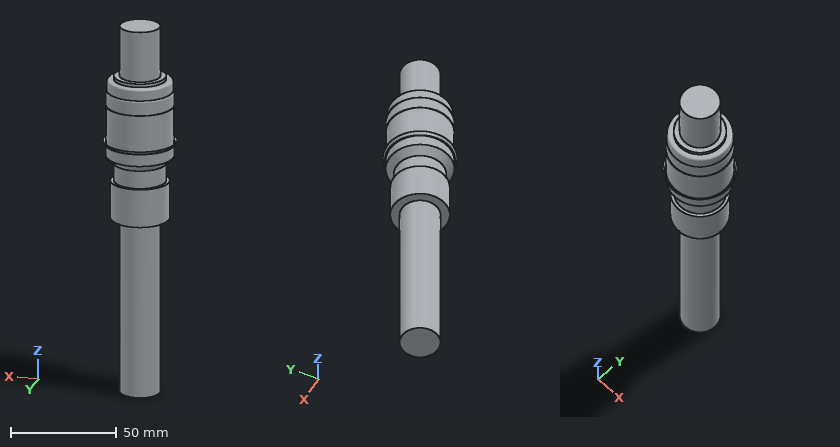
import cadquery as cq
import math

LENGTH = 184.2
ROD_RADIUS = 9.8

NUT_BOTTOM = 87.5
NUT_TOP = 106.5
CONE_BOTTOM = 115.3
CONE_TOP = 119.0
LIP_BOTTOM = 125.0
LIP_FOOT = 125.2
LIP_TOP = 126.7
SLEEVE_TOP = 144.4
BAND_TOP = 151.7
CAP_TOP = 157.5
COLLAR_TOP = 159.1

NUT_RADIUS = 14.2
NECK_RADIUS = 12.5
BODY_RADIUS = 16.4
LIP_DIAMETER = 35.5
LIP_RADIUS = LIP_DIAMETER / 2
LIP_LOWER_RADIUS = 16.8
SLEEVE_RADIUS = 16.2
CAP_RADIUS = 15.8
COLLAR_RADIUS = NECK_RADIUS

EDGE_ROUND = 1.1


def round_edge(profile, outer_radius, top, sweep):
    """Continue an upward line at outer_radius with an arc that turns inward by sweep and ends at top."""
    centre_radius = outer_radius - EDGE_ROUND
    centre_height = top - EDGE_ROUND * math.sin(sweep)

    def arc_point(angle):
        return (
            centre_radius + EDGE_ROUND * math.cos(angle),
            centre_height + EDGE_ROUND * math.sin(angle),
        )

    return profile.lineTo(outer_radius, centre_height).threePointArc(arc_point(sweep / 2), arc_point(sweep))


profile = cq.Workplane("XZ").moveTo(0, 0)

profile = (
    profile.lineTo(ROD_RADIUS, 0)
    .lineTo(ROD_RADIUS, NUT_BOTTOM)
    .lineTo(NUT_RADIUS, NUT_BOTTOM)
    .lineTo(NUT_RADIUS, NUT_TOP)
    .lineTo(NECK_RADIUS, NUT_TOP)
    .lineTo(NECK_RADIUS, CONE_BOTTOM)
)

profile = (
    profile.lineTo(BODY_RADIUS, CONE_TOP)
    .lineTo(BODY_RADIUS, LIP_BOTTOM)
    .lineTo(LIP_LOWER_RADIUS, LIP_BOTTOM)
    .lineTo(LIP_RADIUS, LIP_TOP)
    .lineTo(SLEEVE_RADIUS, LIP_FOOT)
    .lineTo(SLEEVE_RADIUS, SLEEVE_TOP)
    .lineTo(BODY_RADIUS, SLEEVE_TOP)
)

band_sweep = math.acos(1 - (BODY_RADIUS - CAP_RADIUS) / EDGE_ROUND)
profile = round_edge(profile, BODY_RADIUS, BAND_TOP, band_sweep)

profile = round_edge(profile, CAP_RADIUS, CAP_TOP, math.pi / 2)
profile = (
    profile.lineTo(COLLAR_RADIUS, CAP_TOP)
    .lineTo(COLLAR_RADIUS, COLLAR_TOP)
    .lineTo(ROD_RADIUS, COLLAR_TOP)
    .lineTo(ROD_RADIUS, LENGTH)
    .lineTo(0, LENGTH)
    .close()
)

result = profile.revolve(360, (0, 0, 0), (0, 1, 0))